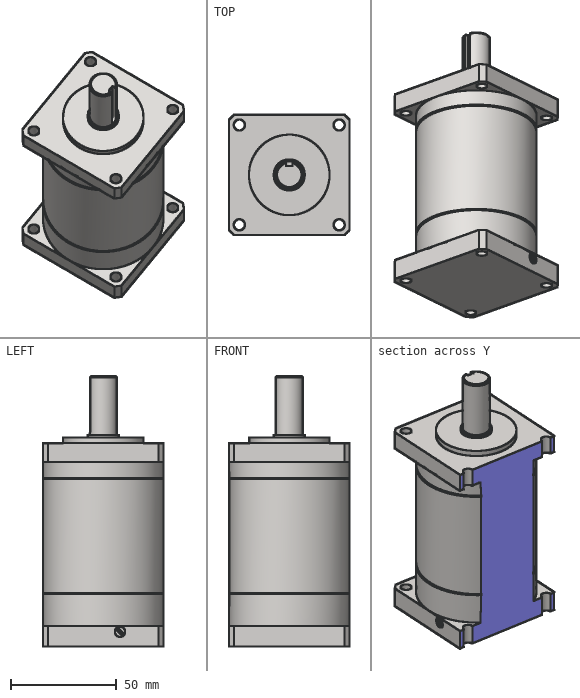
import cadquery as cq

FLANGE_SIDE = 57.0
FLANGE_CORNER = 2.4
HOLE_DIAMETER = 5.1
HOLE_SPACING = 47.2

BASE_FLANGE_TOP = 9.8
LOWER_GROOVE_HEIGHT = 25.2
UPPER_GROOVE_HEIGHT = 79.5
FRONT_FLANGE_BOTTOM = 87.2
FRONT_FLANGE_TOP = 96.1
PILOT_TOP = 98.9
COLLAR_TOP = 100.1
SHAFT_TOP = 127.8

BARREL_DIAMETER = FLANGE_SIDE
PILOT_DIAMETER = 38.1
COLLAR_DIAMETER = 14.7
SHAFT_DIAMETER = 12.9
SHAFT_CHAMFER = 0.6

GROOVE_WIDTH = 0.5
GROOVE_DEPTH = 0.3

KEYWAY_WIDTH = 3.2
KEYWAY_DEPTH = 2.2
KEYWAY_LENGTH = 27.5

SCREW_DIAMETER = 4.9
SCREW_LENGTH = 5.1
SCREW_RECESS = 0.9
SCREW_Y = -7.9
SCREW_Z = 7.0
SLOT_WIDTH = 1.2
SLOT_DEPTH = 0.6
SLOT_ANGLE = 45


def cylinder(diameter, bottom, top):
    """Upright cylinder on the Z axis between two heights."""
    return cq.Workplane("XY").workplane(offset=bottom).circle(diameter / 2).extrude(top - bottom)


def flange(bottom, top):
    """Square plate with cut corners and four through holes."""
    return (
        cq.Workplane("XY")
        .workplane(offset=bottom)
        .rect(FLANGE_SIDE, FLANGE_SIDE)
        .extrude(top - bottom)
        .edges("|Z")
        .chamfer(FLANGE_CORNER)
        .faces(">Z")
        .workplane()
        .rect(HOLE_SPACING, HOLE_SPACING, forConstruction=True)
        .vertices()
        .hole(HOLE_DIAMETER)
    )


def groove(height):
    """Ring that cuts a shallow groove centred on the given height."""
    bottom = height - GROOVE_WIDTH / 2
    top = height + GROOVE_WIDTH / 2
    core = cylinder(BARREL_DIAMETER - 2 * GROOVE_DEPTH, bottom, top)
    return cylinder(BARREL_DIAMETER, bottom, top).cut(core)


def barrel():
    body = cylinder(BARREL_DIAMETER, BASE_FLANGE_TOP, FRONT_FLANGE_BOTTOM)
    for height in (LOWER_GROOVE_HEIGHT, UPPER_GROOVE_HEIGHT):
        body = body.cut(groove(height))
    return body


def keyway():
    """Cutter for the keyway: a straight slot whose lower end is a half round."""
    radius = KEYWAY_WIDTH / 2
    arc_height = SHAFT_TOP - KEYWAY_LENGTH + radius
    floor = SHAFT_DIAMETER / 2 - KEYWAY_DEPTH
    return (
        cq.Workplane("XZ", origin=(0, floor, 0))
        .moveTo(-radius, SHAFT_TOP)
        .lineTo(-radius, arc_height)
        .threePointArc((0, arc_height - radius), (radius, arc_height))
        .lineTo(radius, SHAFT_TOP)
        .close()
        .extrude(-SHAFT_DIAMETER)
    )


def output_shaft():
    shaft = cylinder(SHAFT_DIAMETER, COLLAR_TOP, SHAFT_TOP).faces(">Z").chamfer(SHAFT_CHAMFER)
    return shaft.cut(keyway())


def screw_blank(start_depth, end_depth):
    """Round bar along +X between two depths below the -X face of the base flange."""
    start_x = start_depth - FLANGE_SIDE / 2
    return (
        cq.Workplane("YZ", origin=(start_x, SCREW_Y, SCREW_Z))
        .circle(SCREW_DIAMETER / 2)
        .extrude(end_depth - start_depth)
    )


def make_gearbox():
    """Base flange, barrel, front flange, pilot, collar and shaft, with the screw hole."""
    body = flange(0, BASE_FLANGE_TOP).union(barrel())
    body = body.union(flange(FRONT_FLANGE_BOTTOM, FRONT_FLANGE_TOP))
    body = body.union(cylinder(PILOT_DIAMETER, FRONT_FLANGE_TOP, PILOT_TOP))
    body = body.union(cylinder(COLLAR_DIAMETER, PILOT_TOP, COLLAR_TOP))
    body = body.union(output_shaft())
    return body.cut(screw_blank(0, SCREW_RECESS + SCREW_LENGTH))


def make_plug_screw():
    """Slotted headless screw sunk slightly below the flange face."""
    screw = screw_blank(SCREW_RECESS, SCREW_RECESS + SCREW_LENGTH)
    head_x = SCREW_RECESS - FLANGE_SIDE / 2
    slot = (
        cq.Workplane("YZ", origin=(head_x, SCREW_Y, SCREW_Z))
        .transformed(rotate=(0, 0, SLOT_ANGLE))
        .rect(2 * SCREW_DIAMETER, SLOT_WIDTH)
        .extrude(SLOT_DEPTH)
    )
    return screw.cut(slot)


gearbox = make_gearbox()
plug_screw = make_plug_screw()

result = cq.Compound.makeCompound([gearbox.val(), plug_screw.val()])